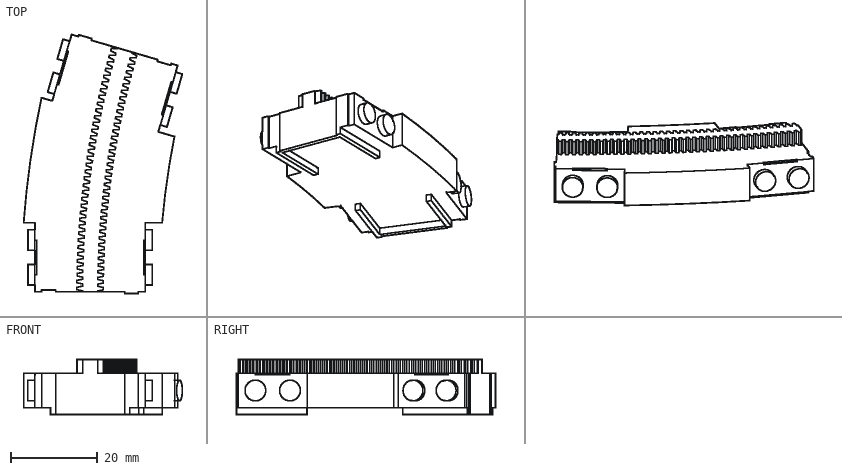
import cadquery as cq
import math


STUD_DIAMETER = 4.8
UNIT = STUD_DIAMETER / 6
LENGTH = 60.0

PATH_RADIUS = 250 * UNIT
END_WIDTH = 32 * UNIT
MIDDLE_WIDTH = 40 * UNIT
END_LENGTH = 20 * UNIT

FOOT_HEIGHT = 2 * UNIT
BODY_HEIGHT = 10 * UNIT
RACK_HEIGHT = 4 * UNIT
BODY_TOP = FOOT_HEIGHT + BODY_HEIGHT

KEY_WIDTH = 4 * UNIT
KEY_OFFSET = 12 * UNIT
KEY_DEPTH = 0.5 * UNIT

FOOT_WIDTH = 18.4
FOOT_WALL = 1.5 * UNIT
STUD_LENGTH = 2 * UNIT
STUD_SPACING = 10 * UNIT
STUD_MIDDLE = END_LENGTH / 2
NOTCH_SIZE = 0.5 * UNIT
NOTCH_LENGTH = STUD_SPACING

TOOTH_COUNT = 36
TIP_OFFSET = 3.05
ROOT_OFFSET = 1.75
TIP_WIDTH = 0.55
ROOT_WIDTH = 0.5

BEND_ANGLE = math.asin((LENGTH - KEY_DEPTH) / (PATH_RADIUS + END_WIDTH / 2))


def path_point(offset, angle):
    """Point at an angle along the path; a positive offset lies outside the bend."""
    radius = PATH_RADIUS + offset
    return (PATH_RADIUS - radius * math.cos(angle), radius * math.sin(angle))


def box(x_size, y_size, z_size, x_mid, y_min, z_min):
    """Box centred in X on x_mid, starting at y_min and z_min."""
    return (
        cq.Workplane("XY")
        .box(x_size, y_size, z_size, centered=(True, False, False))
        .translate((x_mid, y_min, z_min))
    )


def make_end():
    """Near end section: body, U-shaped foot, key, keyway, edge notches and studs."""
    key = box(KEY_WIDTH, KEY_DEPTH, BODY_TOP, KEY_OFFSET, -KEY_DEPTH, 0)
    keyway = box(KEY_WIDTH, KEY_DEPTH, BODY_TOP, -KEY_OFFSET, 0, 0)
    foot_limits = box(FOOT_WIDTH, END_LENGTH + KEY_DEPTH, FOOT_HEIGHT, 0, -KEY_DEPTH, 0)
    body_limits = box(END_WIDTH, END_LENGTH + KEY_DEPTH, BODY_HEIGHT, 0, -KEY_DEPTH, FOOT_HEIGHT)

    block = box(END_WIDTH, END_LENGTH, BODY_TOP, 0, 0, 0).union(key).cut(keyway)
    foot_opening = box(
        FOOT_WIDTH - 2 * FOOT_WALL, END_LENGTH - FOOT_WALL, FOOT_HEIGHT, 0, FOOT_WALL, 0
    )
    end = block.intersect(foot_limits.union(body_limits)).cut(foot_opening)

    for side in (-1, 1):
        notch_x = side * (END_WIDTH - NOTCH_SIZE) / 2
        notch_y = STUD_MIDDLE - NOTCH_LENGTH / 2
        end = end.cut(
            box(NOTCH_SIZE, NOTCH_LENGTH, NOTCH_SIZE, notch_x, notch_y, BODY_TOP - NOTCH_SIZE)
        )
        studs = (
            cq.Workplane("YZ", origin=(side * END_WIDTH / 2, 0, 0))
            .center(STUD_MIDDLE, FOOT_HEIGHT + BODY_HEIGHT / 2)
            .rarray(STUD_SPACING, 0.6, 2, 1)
            .circle(STUD_DIAMETER / 2)
            .extrude(side * STUD_LENGTH)
        )
        end = end.union(studs)
    return end


def place_at_far_end(near_end):
    """Turn a near end section round and swing it to the far end of the path."""
    turned = near_end.rotate((0, 0, 0), (0, 0, 1), 180)
    bend_centre = (PATH_RADIUS, 0, 0)
    bend_axis_top = (PATH_RADIUS, 0, 1)
    return turned.rotate(bend_centre, bend_axis_top, -math.degrees(BEND_ANGLE))


def make_middle():
    """Wide curved section between the shoulders of the two ends."""
    half_width = MIDDLE_WIDTH / 2
    outer_start = math.asin(END_LENGTH / (PATH_RADIUS + half_width))
    inner_start = math.asin(END_LENGTH / (PATH_RADIUS - half_width))
    halfway = BEND_ANGLE / 2
    return (
        cq.Workplane("XY", origin=(0, 0, FOOT_HEIGHT))
        .moveTo(*path_point(half_width, outer_start))
        .threePointArc(
            path_point(half_width, halfway), path_point(half_width, BEND_ANGLE - outer_start)
        )
        .lineTo(*path_point(-half_width, BEND_ANGLE - inner_start))
        .threePointArc(
            path_point(-half_width, halfway), path_point(-half_width, inner_start)
        )
        .close()
        .extrude(BODY_HEIGHT)
    )


def rack_edge(side):
    """Toothed edge along one side of the rack; both of its ends are at root depth."""
    pitch = BEND_ANGLE / TOOTH_COUNT
    half_tip = TIP_WIDTH / 2 / PATH_RADIUS
    half_root = ROOT_WIDTH / 2 / PATH_RADIUS
    points = [path_point(side * ROOT_OFFSET, 0)]
    for tooth in range(TOOTH_COUNT):
        start = tooth * pitch
        middle = start + pitch / 2
        end = start + pitch
        points += [
            path_point(side * ROOT_OFFSET, start + half_root),
            path_point(side * TIP_OFFSET, middle - half_tip),
            path_point(side * TIP_OFFSET, middle + half_tip),
            path_point(side * ROOT_OFFSET, end - half_root),
        ]
    points.append(path_point(side * ROOT_OFFSET, BEND_ANGLE))
    return points


def make_rack():
    """Curved rack with teeth on both sides."""
    outline = rack_edge(1) + rack_edge(-1)[::-1]
    return (
        cq.Workplane("XY", origin=(0, 0, BODY_TOP))
        .polyline(outline)
        .close()
        .extrude(RACK_HEIGHT)
    )


near_end = make_end()
far_end = place_at_far_end(near_end)
result = make_middle().union(near_end).union(far_end).union(make_rack())